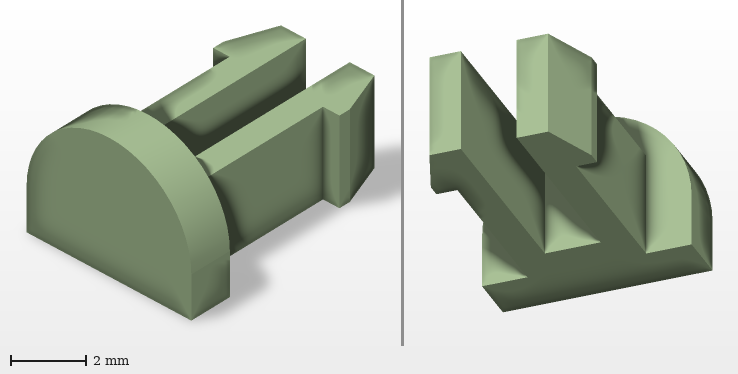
import cadquery as cq

total_length = 8.5
head_width = 6.0
head_thickness = 1.5
head_straight_side = 1.5
stem_width = 3.4
stem_height = 3.0
slot_width = 1.6
web_thickness = 1.0
barb_width = 4.6
barb_length = 2.0
barb_flat = 0.4

head_radius = head_width / 2
slot_start = head_thickness + web_thickness
barb_start = total_length - barb_length
taper_start = barb_start + barb_flat


def make_head():
    """D-shaped head: flat bottom, straight sides and a semicircular top."""
    return (
        cq.Workplane("XZ")
        .moveTo(-head_radius, 0)
        .lineTo(head_radius, 0)
        .lineTo(head_radius, head_straight_side)
        .threePointArc((0, head_straight_side + head_radius), (-head_radius, head_straight_side))
        .close()
        .extrude(-head_thickness)
    )


def make_clip():
    """Split stem with an outward barb at the end of each prong."""
    right_half = [
        (0, head_thickness),
        (stem_width / 2, head_thickness),
        (stem_width / 2, barb_start),
        (barb_width / 2, barb_start),
        (barb_width / 2, taper_start),
        (stem_width / 2, total_length),
        (slot_width / 2, total_length),
        (slot_width / 2, slot_start),
        (0, slot_start),
    ]
    half_clip = cq.Workplane("XY").polyline(right_half).close().extrude(stem_height)
    return half_clip.union(half_clip.mirror("YZ"))


result = make_head().union(make_clip()).clean()